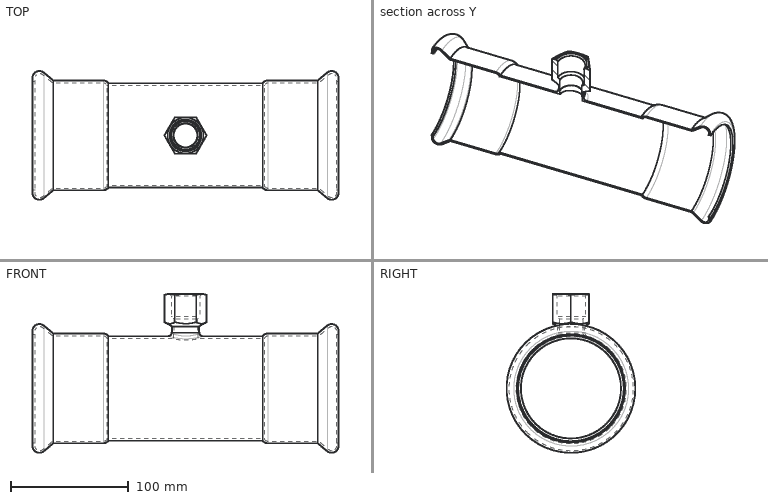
import cadquery as cq
import math

pipe_length = 260.0
pipe_outer_radius = 88.9 / 2
pipe_inner_radius = 84.78 / 2

socket_outer_radius = 93.5 / 2
socket_inner_radius = 89.5 / 2
socket_wall = socket_outer_radius - socket_inner_radius
socket_depth = 60.0
shoulder_length = 4.5

bead_outer_radius = 109.5 / 2
bead_round = 6.0
mouth_radius = 92.0 / 2
flare_angle = math.radians(40)
groove_exit_radius = 91.0 / 2

collar_outer_radius = 24.0 / 2
collar_bore_radius = 20.6 / 2
collar_top = 47.4
collar_fillet = 2.5

fitting_top = 80.25
hex_sides = 6
hex_across_flats = 31.0
hex_corner_radius = hex_across_flats / 2 / math.cos(math.pi / hex_sides)
hex_bottom = 56.2
neck_radius = 23.0 / 2
neck_top = 52.2
underside_radius = 13.2
underside_height = 53.75
face_radius = 30.5 / 2
top_chamfer_angle = math.radians(20)
top_chamfer_height = (hex_corner_radius - face_radius) * math.tan(top_chamfer_angle)

fitting_bore_radius = 20.0 / 2
thread_radius = 24.12 / 2
thread_depth = 19.0
thread_mouth_radius = 27.0 / 2


def shoulder_points(centre_x, centre_radius, arc_round, end_radius):
    """Middle and end of an arc from its crest above the centre down to end_radius."""
    turn = math.acos((end_radius - centre_radius) / arc_round)
    return [
        (centre_x + arc_round * math.sin(angle), centre_radius + arc_round * math.cos(angle))
        for angle in (turn / 2, turn)
    ]


def make_socket_end():
    """Half of the pipe, revolved about X, with its mouth at the -X end."""
    mouth_x = -pipe_length / 2
    socket_end_x = mouth_x + socket_depth

    bead_x = mouth_x + bead_round
    bead_centre_radius = bead_outer_radius - bead_round
    flare_start_x = bead_x + bead_round * math.sin(flare_angle)
    flare_start_radius = bead_centre_radius + bead_round * math.cos(flare_angle)
    flare_end_x = flare_start_x + (flare_start_radius - socket_outer_radius) / math.tan(flare_angle)

    lip_x = mouth_x + socket_wall
    groove_round = bead_round - socket_wall
    groove_end_x = bead_x + groove_round * math.sin(flare_angle)
    groove_end_radius = bead_centre_radius + groove_round * math.cos(flare_angle)
    inner_flare_end_x = groove_end_x + (groove_end_radius - groove_exit_radius) / math.tan(flare_angle)

    drop = socket_outer_radius - pipe_outer_radius
    shoulder_round = (shoulder_length**2 + drop**2) / (2 * drop)
    shoulder_centre_radius = socket_outer_radius - shoulder_round
    outer_mid, outer_end = shoulder_points(
        socket_end_x, shoulder_centre_radius, shoulder_round, pipe_outer_radius
    )
    inner_mid, inner_end = shoulder_points(
        socket_end_x, shoulder_centre_radius, shoulder_round - socket_wall, pipe_inner_radius
    )

    return (
        cq.Workplane("XY")
        .moveTo(mouth_x, mouth_radius)
        .lineTo(mouth_x, bead_centre_radius)
        .threePointArc((bead_x, bead_outer_radius), (flare_start_x, flare_start_radius))
        .lineTo(flare_end_x, socket_outer_radius)
        .lineTo(socket_end_x, socket_outer_radius)
        .threePointArc(outer_mid, outer_end)
        .lineTo(0, pipe_outer_radius)
        .lineTo(0, pipe_inner_radius)
        .lineTo(*inner_end)
        .threePointArc(inner_mid, (socket_end_x, socket_inner_radius))
        .lineTo(flare_end_x, socket_inner_radius)
        .lineTo(inner_flare_end_x, groove_exit_radius)
        .lineTo(groove_end_x, groove_end_radius)
        .threePointArc((bead_x, bead_outer_radius - socket_wall), (lip_x, bead_centre_radius))
        .lineTo(lip_x, mouth_radius)
        .close()
        .revolve(360, (0, 0, 0), (1, 0, 0))
    )


def make_pipe():
    """Pipe with two press sockets and the filleted branch collar."""
    left_end = make_socket_end()
    pipe = left_end.union(left_end.mirror("YZ"))

    mid_wall_radius = (pipe_outer_radius + pipe_inner_radius) / 2
    collar_base = math.sqrt(mid_wall_radius**2 - collar_outer_radius**2)
    collar = cq.Workplane("XY").workplane(offset=collar_base).circle(collar_outer_radius)
    collar = collar.extrude(collar_top - collar_base)
    hollow = cq.Workplane("YZ").circle(pipe_inner_radius).extrude(2 * collar_outer_radius, both=True)
    pipe = pipe.union(collar.cut(hollow))

    root_reach = collar_outer_radius + collar_fillet
    root_top = (pipe_outer_radius + collar_top) / 2
    root_box = cq.selectors.BoxSelector(
        (-root_reach, -root_reach, pipe_inner_radius - collar_fillet),
        (root_reach, root_reach, root_top),
        boundingbox=True,
    )
    pipe = pipe.edges(root_box).fillet(collar_fillet)

    bore = cq.Workplane("XY").circle(collar_bore_radius).extrude(collar_top)
    return pipe.cut(bore)


def make_fitting():
    """Hexagonal female fitting with a round neck."""
    hexagon = (
        cq.Workplane("XY")
        .workplane(offset=collar_top)
        .polygon(hex_sides, 2 * hex_corner_radius)
        .extrude(fitting_top - collar_top)
    )

    turned = (
        cq.Workplane("XZ")
        .moveTo(0, collar_top)
        .lineTo(neck_radius, collar_top)
        .lineTo(neck_radius, neck_top)
        .lineTo(underside_radius, underside_height)
        .lineTo(hex_corner_radius, hex_bottom)
        .lineTo(hex_corner_radius, fitting_top - top_chamfer_height)
        .lineTo(face_radius, fitting_top)
        .lineTo(0, fitting_top)
        .close()
        .revolve(360, (0, 0, 0), (0, 1, 0))
    )

    thread_floor = fitting_top - thread_depth
    floor_cone = thread_radius - fitting_bore_radius
    mouth_cone = thread_mouth_radius - thread_radius
    bore = (
        cq.Workplane("XZ")
        .moveTo(0, collar_top)
        .lineTo(fitting_bore_radius, collar_top)
        .lineTo(fitting_bore_radius, thread_floor - floor_cone)
        .lineTo(thread_radius, thread_floor)
        .lineTo(thread_radius, fitting_top - mouth_cone)
        .lineTo(thread_mouth_radius, fitting_top)
        .lineTo(0, fitting_top)
        .close()
        .revolve(360, (0, 0, 0), (0, 1, 0))
    )
    return hexagon.intersect(turned).cut(bore)


pipe = make_pipe()
fitting = make_fitting()

result = cq.Compound.makeCompound([pipe.val(), fitting.val()])